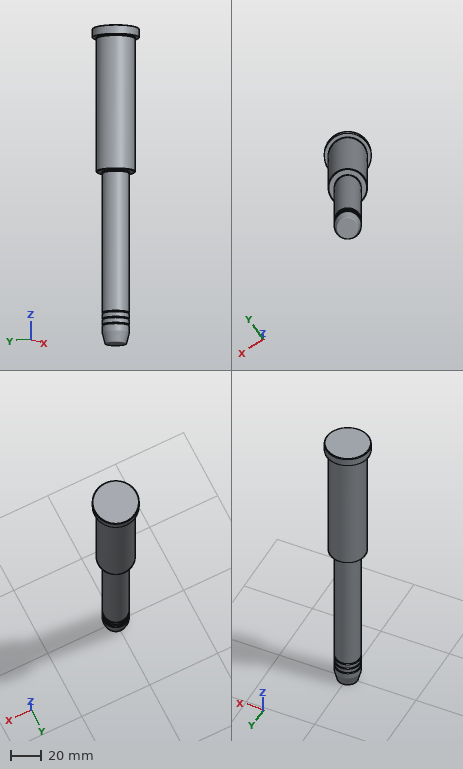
import cadquery as cq

TOTAL_LENGTH = 211.0
HEAD_DIAMETER = 31.0
HEAD_HEIGHT = 6.0
SHOULDER_DIAMETER = 26.0
SHOULDER_BOTTOM_Z = 115.0
PIN_DIAMETER = 18.0
EDGE_CHAMFER = 0.53

RELIEF_WIDTH = 1.0
RELIEF_DEPTH = 0.53

GROOVE_COUNT = 3
GROOVE_WIDTH = 1.0
GROOVE_DEPTH = 0.53
GROOVE_PITCH = 4.0
LOWEST_GROOVE_Z = 12.5

TIP_LENGTH = 7.4
TIP_HALF_ANGLE = 14.0
TIP_ROUNDING = 0.5


def cylinder(diameter, bottom_z, top_z):
    return cq.Workplane("XY").workplane(offset=bottom_z).circle(diameter / 2).extrude(top_z - bottom_z)


def groove_cutter(diameter, depth, bottom_z, width):
    """Ring that cuts a V groove of the given depth into a cylinder of the given diameter."""
    radius = diameter / 2
    profile = cq.Workplane("XZ").moveTo(radius, bottom_z)
    profile = profile.lineTo(radius - depth, bottom_z + width / 2).lineTo(radius, bottom_z + width).close()
    return profile.revolve(360, (0, 0, 0), (0, 1, 0))


def make_head():
    head = cylinder(HEAD_DIAMETER, head_bottom_z, TOTAL_LENGTH)
    return head.faces(">Z").edges().chamfer(EDGE_CHAMFER)


def make_shoulder():
    shoulder = cylinder(SHOULDER_DIAMETER, SHOULDER_BOTTOM_Z, head_bottom_z)
    shoulder = shoulder.faces("<Z").edges().chamfer(EDGE_CHAMFER)
    relief_z = head_bottom_z - RELIEF_WIDTH
    return shoulder.cut(groove_cutter(SHOULDER_DIAMETER, RELIEF_DEPTH, relief_z, RELIEF_WIDTH))


def make_pin():
    pin = cylinder(PIN_DIAMETER, TIP_LENGTH, SHOULDER_BOTTOM_Z)
    relief_z = SHOULDER_BOTTOM_Z - RELIEF_WIDTH
    pin = pin.cut(groove_cutter(PIN_DIAMETER, RELIEF_DEPTH, relief_z, RELIEF_WIDTH))
    for index in range(GROOVE_COUNT):
        groove_z = LOWEST_GROOVE_Z + index * GROOVE_PITCH - GROOVE_WIDTH / 2
        pin = pin.cut(groove_cutter(PIN_DIAMETER, GROOVE_DEPTH, groove_z, GROOVE_WIDTH))
    return pin


def make_tip():
    tip = cq.Workplane("XY").workplane(offset=TIP_LENGTH).circle(PIN_DIAMETER / 2)
    tip = tip.extrude(-TIP_LENGTH, taper=TIP_HALF_ANGLE)
    return tip.faces("<Z").edges().fillet(TIP_ROUNDING)


head_bottom_z = TOTAL_LENGTH - HEAD_HEIGHT

result = make_head().union(make_shoulder()).union(make_pin()).union(make_tip())